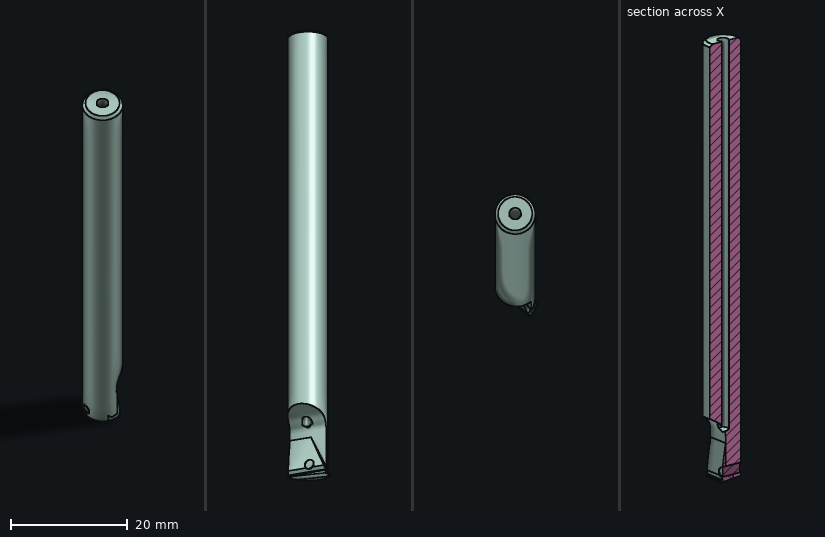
import cadquery as cq
import math

LENGTH = 80
DIAMETER = 7.0
RADIUS = DIAMETER / 2
TOP_CHAMFER_WIDTH = 0.6
TOP_CHAMFER_HEIGHT = 0.5

BORE_DIAMETER = 2.0
BORE_FLOOR_Z = 9.6
DRILL_POINT_ANGLE = 118

FLUTE_ARC_RADIUS = 3.05
FLUTE_ARC_START_Z = 8.5
FLUTE_RAMP_ANGLE = 31

END_RISE_PER_X = 0.05
END_RISE_PER_Y = 0.09

TIP_X = -3.96
TIP_Y = 0.9
TIP_CORNER_X = -3.8
TIP_Z = 0.5
TIP_SHOULDER_Z = 1.7
TIP_ROOT_X = -3.4
FLANK_LEAN = 0.5
WEDGE_TOP_Z = 7.2
GROOVE_TOP_Z = 1.45
GROOVE_BOTTOM_Z = 0.7
GROOVE_DEPTH = 0.2
FOOT_BACK_Y = -1.7
FOOT_FRONT_Z = 1.5
FOOT_DIP_Y = -1.1
FOOT_DIP_Z = 1.3
FOOT_RIDGE_Y = -1.5
FOOT_RIDGE_Z = 1.8

PIN_X = -0.65
PIN_Z = 2.1
PIN_DIAMETER = 1.7
PIN_BACK_Y = -3.3
PIN_FRONT_Y = 0.65
PIN_CHAMFER = 0.12

CLEAR = 2 * DIAMETER


def prism_along_x(profile):
    """Solid from a YZ profile, reaching past the bar on both sides."""
    return profile.extrude(CLEAR, both=True)


def end_height(x, y):
    """Height of the ground lower end at a point in plan."""
    return END_RISE_PER_X * (x - TIP_CORNER_X) + END_RISE_PER_Y * (TIP_Y - y)


def space_above_end():
    """Everything above the ground lower end, as one block."""
    normal = cq.Vector(-END_RISE_PER_X, END_RISE_PER_Y, 1)
    origin = (0, 0, end_height(0, 0))
    plane = cq.Plane(origin=origin, xDir=(1, 0, END_RISE_PER_X), normal=normal)
    return cq.Workplane(plane).rect(2 * CLEAR, 2 * CLEAR).extrude(2 * LENGTH)


def make_shank():
    """Revolved bar with its top chamfer, drilled bore and ground end."""
    chamfer_start_z = LENGTH - TOP_CHAMFER_HEIGHT
    bore_radius = BORE_DIAMETER / 2
    point_depth = bore_radius / math.tan(math.radians(DRILL_POINT_ANGLE / 2))
    shank = (
        cq.Workplane("XZ")
        .moveTo(0, 0)
        .lineTo(RADIUS, 0)
        .lineTo(RADIUS, chamfer_start_z)
        .lineTo(RADIUS - TOP_CHAMFER_WIDTH, LENGTH)
        .lineTo(bore_radius, LENGTH)
        .lineTo(bore_radius, BORE_FLOOR_Z)
        .lineTo(0, BORE_FLOOR_Z - point_depth)
        .close()
        .revolve(360, (0, 0, 0), (0, 1, 0))
    )
    return shank.intersect(space_above_end())


def make_flute():
    """Cutter for the flat at Y = 0 and its run-out."""
    ramp = math.radians(FLUTE_RAMP_ANGLE)
    turn = math.pi / 2 - ramp

    def arc_point(angle):
        y = FLUTE_ARC_RADIUS * (1 - math.cos(angle))
        z = FLUTE_ARC_START_Z + FLUTE_ARC_RADIUS * math.sin(angle)
        return y, z

    ramp_y, ramp_z = arc_point(turn)
    profile = (
        cq.Workplane("YZ")
        .moveTo(0, -CLEAR)
        .lineTo(0, FLUTE_ARC_START_Z)
        .threePointArc(arc_point(turn / 2), (ramp_y, ramp_z))
        .lineTo(DIAMETER, ramp_z + (DIAMETER - ramp_y) * math.tan(ramp))
        .lineTo(DIAMETER, -CLEAR)
        .close()
    )
    return prism_along_x(profile)


def make_foot_space():
    """Seat under the bar that the insert's foot fills, with a ridge at its back."""
    profile = cq.Workplane("YZ").polyline([
        (0, -CLEAR),
        (0, FOOT_FRONT_Z),
        (FOOT_DIP_Y, FOOT_DIP_Z),
        (FOOT_RIDGE_Y, FOOT_RIDGE_Z),
        (FOOT_BACK_Y, FOOT_RIDGE_Z),
        (FOOT_BACK_Y, -CLEAR),
    ]).close()
    return prism_along_x(profile)


def make_wedge():
    """Rake wedge on the flat, with a chip groove behind the cutting edge."""
    profile = cq.Workplane("YZ").polyline([
        (0, 0),
        (0, WEDGE_TOP_Z),
        (TIP_Y, GROOVE_TOP_Z),
        (TIP_Y - GROOVE_DEPTH, GROOVE_BOTTOM_Z),
        (TIP_Y, TIP_Z),
        (TIP_Y, 0),
    ]).close()
    return prism_along_x(profile)


def make_tip_block():
    """Leaning block that carries the cutting tip and its flat flank out past the bar."""
    drift_to_tip = FLANK_LEAN * TIP_Z
    plan = cq.Wire.makePolygon([
        cq.Vector(0, TIP_Y, 0),
        cq.Vector(TIP_X - drift_to_tip, TIP_Y, 0),
        cq.Vector(TIP_ROOT_X - drift_to_tip, FOOT_BACK_Y, 0),
        cq.Vector(0, FOOT_BACK_Y, 0),
    ], close=True)
    lean = cq.Vector(FLANK_LEAN * TIP_SHOULDER_Z, 0, TIP_SHOULDER_Z)
    return cq.Solid.extrudeLinear(plan, [], lean)


def make_insert():
    """Wedge and foot trimmed to the bar's outline plus the cutting tip."""
    envelope = cq.Workplane("XY").circle(RADIUS).extrude(WEDGE_TOP_Z)
    envelope = envelope.union(cq.Workplane(make_tip_block()))
    side = cq.Workplane("XZ").polyline([
        (RADIUS, 0),
        (TIP_CORNER_X, 0),
        (TIP_X, TIP_Z),
        (TIP_X + FLANK_LEAN * (WEDGE_TOP_Z - TIP_Z), WEDGE_TOP_Z),
        (RADIUS, WEDGE_TOP_Z),
    ]).close().extrude(CLEAR, both=True)
    body = make_wedge().union(make_foot_space())
    return body.intersect(envelope).intersect(side).intersect(space_above_end())


def make_pin():
    """Round pin with its back end chamfered, just below the bar's surface."""
    return (
        cq.Workplane("XZ", origin=(PIN_X, PIN_BACK_Y, PIN_Z))
        .circle(PIN_DIAMETER / 2)
        .extrude(PIN_BACK_Y - PIN_FRONT_Y)
        .faces("<Y")
        .chamfer(PIN_CHAMFER)
    )


def make_pin_hole():
    """Cutter for the cross hole that the pin fills."""
    return (
        cq.Workplane("XZ", origin=(PIN_X, 0, PIN_Z))
        .circle(PIN_DIAMETER / 2)
        .extrude(CLEAR, both=True)
    )


pin_hole = make_pin_hole()
bar = make_shank().cut(make_flute()).cut(make_foot_space()).cut(pin_hole)
insert = make_insert().cut(pin_hole)
pin = make_pin()

result = cq.Compound.makeCompound([bar.val(), insert.val(), pin.val()])